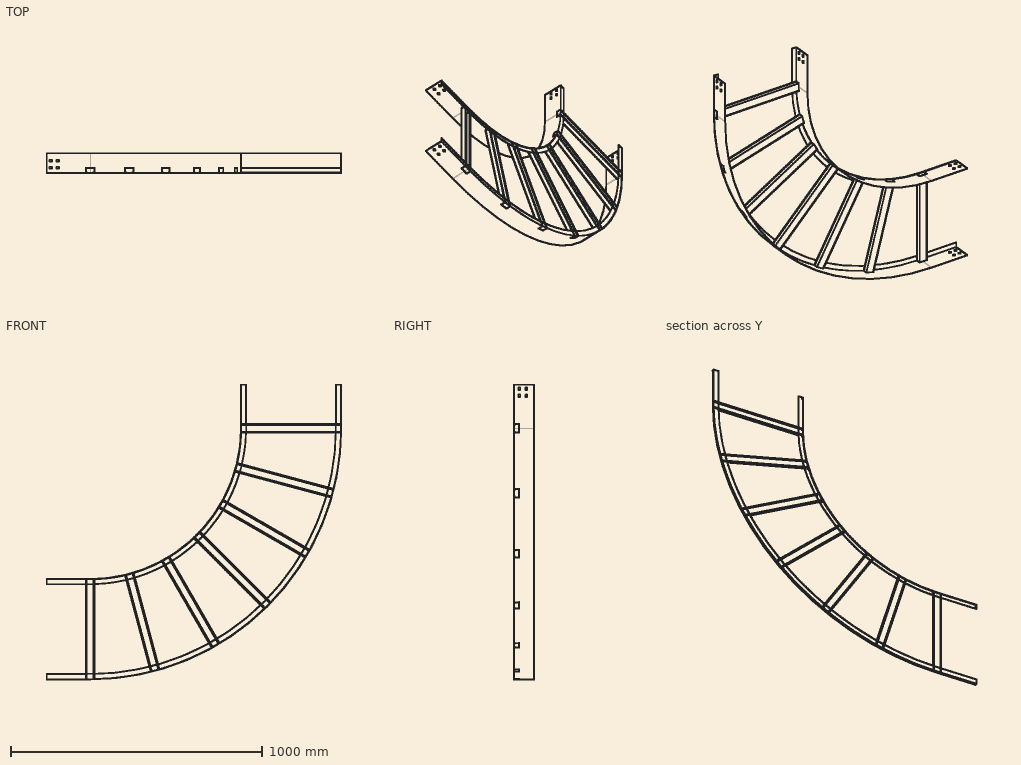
import cadquery as cq
import math


overall = 1173.0
straight = 174.0
clear_width = 400.0
bend_angle = 90.0

rail_height = 80.0
inner_flange = 21.0
outer_flange = 22.0
sheet = 2.0

rung_count = 7
rung_width = 36.0
rung_depth = 20.0
rung_lip = 5.3

slots_per_row = 2
slot_length = 10.0
slot_width = 7.0
slot_first = 16.0
slot_low = 21.0
slot_pitch = 28.0

outer_radius = overall - straight
inner_radius = outer_radius - clear_width


def bent_strip(radius_small, radius_large, height):
    """Solid of the given Y height between two radii, with a straight run at both ends."""
    diagonal = math.sqrt(0.5)

    def arc_middle(radius):
        return (radius * diagonal, -radius * diagonal)

    return (
        cq.Workplane("XZ")
        .moveTo(-straight, -radius_large)
        .lineTo(0, -radius_large)
        .threePointArc(arc_middle(radius_large), (radius_large, 0))
        .lineTo(radius_large, straight)
        .lineTo(radius_small, straight)
        .lineTo(radius_small, 0)
        .threePointArc(arc_middle(radius_small), (0, -radius_small))
        .lineTo(-straight, -radius_small)
        .close()
        .extrude(-height)
    )


def inner_rail():
    """Web on the smallest radius, flange turned away from the bend centre."""
    web = bent_strip(inner_radius, inner_radius + sheet, rail_height)
    flange = bent_strip(inner_radius, inner_radius + inner_flange, sheet)
    return web.union(flange)


def outer_rail():
    """Web on the largest radius, flange turned toward the bend centre."""
    web = bent_strip(outer_radius - sheet, outer_radius, rail_height)
    flange = bent_strip(outer_radius - outer_flange, outer_radius, sheet)
    return web.union(flange)


def rung(angle):
    """Lipped channel open toward the flanges, at an angle from straight down toward +X."""
    start = inner_radius + sheet / 2
    length = outer_radius - sheet / 2 - start

    def bar(width, y_start, y_end):
        return (
            cq.Workplane("XY")
            .box(width, y_end - y_start, length, centered=(True, False, False))
            .translate((0, y_start, -start - length))
        )

    back = sheet + rung_depth
    body = bar(rung_width, sheet, back)
    hollow = bar(rung_width - 2 * sheet, 2 * sheet, back - sheet)
    mouth = bar(rung_width - 2 * rung_lip, sheet, back - sheet)
    channel = body.cut(hollow).cut(mouth)
    return channel.rotate((0, 0, 0), (0, 1, 0), -angle)


def slot_cutter():
    """Slots through both rails at the -X end, long along X and cut along Z."""
    half_pitch = slot_pitch * (slots_per_row - 1) / 2
    return (
        cq.Workplane("XY")
        .center(-straight + slot_first + half_pitch, slot_low + half_pitch)
        .rarray(slot_pitch, slot_pitch, slots_per_row, slots_per_row)
        .slot2D(slot_length, slot_width)
        .extrude(-overall)
    )


first_end_slots = slot_cutter()
second_end_slots = first_end_slots.mirror("YZ").rotate((0, 0, 0), (0, 1, 0), -bend_angle)

rails = inner_rail().union(outer_rail())
result = rails.cut(first_end_slots).cut(second_end_slots)
for index in range(rung_count):
    result = result.union(rung(index * bend_angle / (rung_count - 1)))